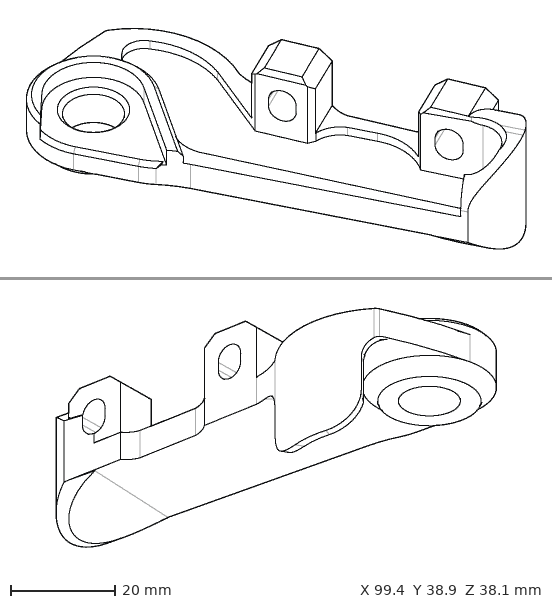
import cadquery as cq
import math

ARM_TOP = 6.0
POCKET_FLOOR = 4.0
HUB_TOP = 8.6
HUB_FLOOR = 5.0
POST_TOP = 19.2
TAB_BOTTOM = -18.9
CAP_BOTTOM = -5.8
BOSS_DEPTH = 3.0

HUB_RADIUS = 12.9
HUB_WALL = 3.0
HUB_POCKET_RADIUS = HUB_RADIUS - HUB_WALL
HOLE_RADIUS = 6.0
EDGE_CHAMFER = 1.0
FLANK_ANGLE = 30.0
RECESS_LEFT_ANGLE = 195.0

ARM_FRONT_Y = -11.7
LOBE_CENTER = (6.8, 4.1)
LOBE_RADIUS = 21.9
LOBE_CORNER_ANGLE = 121.0
LOBE_POCKET_RADIUS = 18.3
LEFT_EDGE_ANGLE = 164.0
LOBE_CORNER_FILLET = 2.0
CAP_RADIUS = 12.9
ARM_END_X = 99.4 - HUB_RADIUS
CAP_CENTER_X = ARM_END_X - CAP_RADIUS

HUB_FRONT_END = (13.0, -HUB_RADIUS)
BLEND_MIDDLE = (16.5, -12.5)
BLEND_END = (23.2, ARM_FRONT_Y)

REAR_TILT = 3.5
REAR_START = (30.7, 14.5)
POST_BACK_STARTS = (0.0, 34.2)
POST_WIDTH = 13.1
POST_DEPTH = 10.3
POST_CHAMFER_WIDTH = 2.7
POST_CHAMFER_HEIGHT = 2.3
SLOT_OFFSET = 6.8
SLOT_WIDTH = 5.7
SLOT_HEIGHT = 7.4
SLOT_Z = 11.7

CAP_START_X = 77.5
CREST_START_X = 71.5
END_RADIUS = 5.6
END_CENTER = (77.5, -3.8)
ARCH_RADIUS = 11.7
ARCH_FLAT = 1.6
UNDER_ARCH_RADIUS = 14.9
RIDGE_START_X = 71.5

TAB_INNER_RADIUS = 20.1
TAB_START_ANGLE = 38.5
TAB_END_ANGLE = 113.0
TAB_ROOT_FILLET = 4.5
CLEARANCE_RADIUS = 26.8
TAB_RIGHT_RADIUS = 12.4
TAB_RIGHT_INWARD = 145.0
TAB_LEFT_RADIUS = 7.5
TAB_LEFT_INWARD = 14.0
TAB_CORNER_REACH = 7.9
TAB_OVERREACH = 5.0

BIG = 59.6


def polar(radius, angle, center=(0.0, 0.0)):
    a = math.radians(angle)
    return (center[0] + radius * math.cos(a), center[1] + radius * math.sin(a))


def along_rear(distance, inset=0.0):
    """Point at a distance along the rear edge, moved inward from it."""
    a = math.radians(REAR_TILT)
    x = REAR_START[0] + distance * math.cos(a) - inset * math.sin(a)
    y = REAR_START[1] - distance * math.sin(a) - inset * math.cos(a)
    return (x, y)


def on_tangent(radius, angle, y):
    """Point at height y on the line tangent to the origin circle at an angle."""
    a = math.radians(angle)
    return ((radius - y * math.sin(a)) / math.cos(a), y)


def arm_outline():
    """Closed outline of the arm, counterclockwise from where the left edge meets the hub."""
    cap_half_angle = math.degrees(math.asin(-ARM_FRONT_Y / CAP_RADIUS))
    cap_center = (CAP_CENTER_X, 0.0)
    return (
        cq.Workplane("XY")
        .moveTo(*polar(HUB_RADIUS, LEFT_EDGE_ANGLE))
        .threePointArc(polar(HUB_RADIUS, 215), (0, -HUB_RADIUS))
        .lineTo(*HUB_FRONT_END)
        .tangentArcPoint(BLEND_MIDDLE, relative=False)
        .tangentArcPoint(BLEND_END, relative=False)
        .lineTo(*polar(CAP_RADIUS, -cap_half_angle, cap_center))
        .threePointArc((ARM_END_X, 0), polar(CAP_RADIUS, cap_half_angle, cap_center))
        .lineTo(*along_rear(POST_BACK_STARTS[1]))
        .threePointArc((63.6, 11.4), (61.5, 10.7))
        .lineTo(47.5, 11.5)
        .threePointArc((45.7, 12.2), along_rear(POST_WIDTH))
        .lineTo(*REAR_START)
        .threePointArc((27.0, 15.7), polar(LOBE_RADIUS, TAB_START_ANGLE, LOBE_CENTER))
        .threePointArc(
            polar(LOBE_RADIUS, 80, LOBE_CENTER),
            polar(LOBE_RADIUS, LOBE_CORNER_ANGLE, LOBE_CENTER),
        )
        .threePointArc((-9.0, 13.4), polar(HUB_RADIUS, LEFT_EDGE_ANGLE))
        .close()
    )


def pocket_prism():
    """Recess in the arm; above the arm its walls are the post and end wall faces."""
    outline = (
        cq.Workplane("XY")
        .moveTo(5, 5)
        .lineTo(4, 11.4)
        .threePointArc((1.2, 14.8), (0.3, 17.9))
        .threePointArc((1.5, 20.9), polar(LOBE_POCKET_RADIUS, 97, LOBE_CENTER))
        .threePointArc(
            polar(LOBE_POCKET_RADIUS, 72, LOBE_CENTER),
            polar(LOBE_POCKET_RADIUS, 45, LOBE_CENTER),
        )
        .lineTo(*along_rear(1.2, POST_DEPTH))
        .lineTo(*along_rear(11.9, POST_DEPTH))
        .lineTo(43.3, 4.6)
        .threePointArc((45.5, 7.0), (48.6, 8.0))
        .lineTo(54.6, 8.0)
        .threePointArc((60.6, 6.6), (64.6, 3.1))
        .lineTo(*along_rear(POST_BACK_STARTS[1] + 1.0, POST_DEPTH))
        .lineTo(*polar(END_RADIUS, 86.5, END_CENTER))
        .threePointArc(polar(END_RADIUS, 0, END_CENTER), polar(END_RADIUS, -88.3, END_CENTER))
        .lineTo(23.5, -7.7)
        .threePointArc((20.1, -6.5), (17.6, -4.1))
        .lineTo(9.9, 0)
        .close()
    )
    return outline.extrude(BIG).translate((0, 0, POCKET_FLOOR))


def place_at_post(body, start):
    """Move a body from the origin to a post, its back center on the rear edge."""
    x, y = along_rear(start + POST_WIDTH / 2)
    return body.rotate((0, 0, 0), (0, 0, 1), -REAR_TILT).translate((x, y, 0))


def post(start):
    """Post with its top corners sloped off on both sides, sunk halfway into the arm."""
    half = POST_WIDTH / 2
    shoulder = POST_TOP - POST_CHAMFER_HEIGHT
    body = (
        cq.Workplane("XZ")
        .polyline(
            [
                (-half, ARM_TOP / 2),
                (half, ARM_TOP / 2),
                (half, shoulder),
                (half - POST_CHAMFER_WIDTH, POST_TOP),
                (POST_CHAMFER_WIDTH - half, POST_TOP),
                (-half, shoulder),
            ]
        )
        .close()
        .extrude(POST_DEPTH)
    )
    return place_at_post(body, start)


def front_bevel(start):
    """Bevel along the top front edge of a post."""
    bevel = (
        cq.Workplane("YZ")
        .moveTo(-POST_DEPTH - EDGE_CHAMFER, POST_TOP + EDGE_CHAMFER)
        .lineTo(-POST_DEPTH - EDGE_CHAMFER, POST_TOP - 2 * EDGE_CHAMFER)
        .lineTo(-POST_DEPTH + 2 * EDGE_CHAMFER, POST_TOP + EDGE_CHAMFER)
        .close()
        .extrude(POST_WIDTH / 2, both=True)
    )
    return place_at_post(bevel, start)


def end_wall_bevel():
    """Conical bevel continuing the post's front bevel around the pocket end."""
    return (
        cq.Workplane("XY", origin=(*END_CENTER, POST_TOP - EDGE_CHAMFER))
        .circle(END_RADIUS)
        .workplane(offset=EDGE_CHAMFER)
        .circle(END_RADIUS + EDGE_CHAMFER)
        .loft()
    )


def post_slot(start):
    slot = (
        cq.Workplane("XZ")
        .center(SLOT_OFFSET - POST_WIDTH / 2, SLOT_Z)
        .slot2D(SLOT_HEIGHT, SLOT_WIDTH, 90)
        .extrude(BIG, both=True)
    )
    return place_at_post(slot, start)


def tab_corner(end_angle, inward, radius):
    """Space outside a rounded lower corner of the tab, cut square to an inward direction."""
    x, y = polar(LOBE_RADIUS, end_angle, LOBE_CENTER)
    dx, dy = polar(1, inward)
    plane = cq.Plane(origin=(x, y, TAB_BOTTOM), xDir=(dx, dy, 0), normal=(dy, -dx, 0))
    return (
        cq.Workplane(plane)
        .moveTo(-radius, radius)
        .lineTo(0, radius)
        .radiusArc((radius, 0), -radius)
        .lineTo(radius, -radius)
        .lineTo(-radius, -radius)
        .close()
        .extrude(TAB_CORNER_REACH, both=True)
    )


def hub_clearance():
    """Shallow space under the arm that keeps the tab's root clear of the hub."""
    around_hub = cq.Workplane("XY").circle(CLEARANCE_RADIUS).extrude(-BOSS_DEPTH)
    inside_tab = cq.Workplane("XY").center(*LOBE_CENTER).circle(TAB_INNER_RADIUS).extrude(-BOSS_DEPTH)
    return around_hub.intersect(inside_tab)


def tab_space(slab):
    """The slab with the tab's sector below it, blended at the root and reaching past the outline."""
    outer_radius = LOBE_RADIUS + TAB_OVERREACH
    middle_angle = (TAB_START_ANGLE + TAB_END_ANGLE) / 2
    tab = (
        cq.Workplane("XY")
        .moveTo(*polar(TAB_INNER_RADIUS, TAB_START_ANGLE, LOBE_CENTER))
        .lineTo(*polar(outer_radius, TAB_START_ANGLE, LOBE_CENTER))
        .threePointArc(
            polar(outer_radius, middle_angle, LOBE_CENTER),
            polar(outer_radius, TAB_END_ANGLE, LOBE_CENTER),
        )
        .lineTo(*polar(TAB_INNER_RADIUS, TAB_END_ANGLE, LOBE_CENTER))
        .threePointArc(
            polar(TAB_INNER_RADIUS, middle_angle, LOBE_CENTER),
            polar(TAB_INNER_RADIUS, TAB_START_ANGLE, LOBE_CENTER),
        )
        .close()
        .extrude(TAB_BOTTOM)
    )
    root = cq.selectors.BoxSelector((-BIG, 1, -0.1), (BIG, BIG, 0.1))
    blended = slab.union(tab).edges(root).fillet(TAB_ROOT_FILLET)
    right = tab_corner(TAB_START_ANGLE, TAB_RIGHT_INWARD, TAB_RIGHT_RADIUS)
    left = tab_corner(TAB_END_ANGLE, TAB_LEFT_INWARD, TAB_LEFT_RADIUS)
    return blended.cut(right).cut(left).cut(hub_clearance())


def arm_envelope():
    """Space the arm may fill: a flat slab, the arched end wall and the ridge under it."""
    arch_z = POST_TOP - ARCH_RADIUS
    slab = cq.Workplane("XY").box(4 * BIG, 4 * BIG, ARM_TOP, centered=(True, True, False))
    crest = (
        cq.Workplane("YZ", origin=(CREST_START_X, 0, 0))
        .moveTo(-ARCH_RADIUS, ARM_TOP / 2)
        .lineTo(-ARCH_RADIUS, arch_z)
        .radiusArc((0, POST_TOP), ARCH_RADIUS)
        .lineTo(ARCH_FLAT, POST_TOP)
        .radiusArc((ARCH_FLAT + ARCH_RADIUS, arch_z), ARCH_RADIUS)
        .lineTo(ARCH_FLAT + ARCH_RADIUS, ARM_TOP / 2)
        .close()
        .extrude(BIG)
    )
    front_rim = cq.Workplane("XY").box(BIG, BIG, BIG)
    front_rim = front_rim.translate((CAP_START_X - BIG / 2, -BIG / 2, ARM_TOP + BIG / 2))
    crest = crest.cut(front_rim)
    ridge_side = (
        cq.Workplane("XZ")
        .moveTo(RIDGE_START_X, 0)
        .threePointArc((78.0, -2.4), (84.2, CAP_BOTTOM))
        .lineTo(2 * ARM_END_X, CAP_BOTTOM)
        .lineTo(2 * ARM_END_X, ARM_TOP / 2)
        .lineTo(RIDGE_START_X, ARM_TOP / 2)
        .close()
        .extrude(BIG, both=True)
    )
    ridge_arch = (
        cq.Workplane("YZ")
        .center(0, CAP_BOTTOM + UNDER_ARCH_RADIUS)
        .circle(UNDER_ARCH_RADIUS)
        .extrude(2 * BIG)
    )
    return tab_space(slab).union(crest).union(ridge_side.intersect(ridge_arch))


def build_arm():
    corner = polar(LOBE_RADIUS, LOBE_CORNER_ANGLE, LOBE_CENTER)
    prism = (
        arm_outline()
        .extrude(POST_TOP - TAB_BOTTOM)
        .translate((0, 0, TAB_BOTTOM))
        .edges(cq.selectors.NearestToPointSelector((*corner, (POST_TOP + TAB_BOTTOM) / 2)))
        .fillet(LOBE_CORNER_FILLET)
    )
    return prism.intersect(arm_envelope())


def hub_prism(height):
    """Beveled hub; it reaches past the arm's front beside the flank so that no bevel is left there."""
    past_front = -HUB_RADIUS - HUB_WALL
    over_long = (
        cq.Workplane("XY")
        .moveTo(*polar(HUB_RADIUS, FLANK_ANGLE))
        .threePointArc(polar(HUB_RADIUS, 150), (0, -HUB_RADIUS))
        .lineTo(*HUB_FRONT_END)
        .tangentArcPoint(BLEND_MIDDLE, relative=False)
        .lineTo(BLEND_MIDDLE[0], past_front)
        .lineTo(*on_tangent(HUB_RADIUS, FLANK_ANGLE, past_front))
        .close()
        .extrude(height)
        .faces(">Z")
        .chamfer(EDGE_CHAMFER)
    )
    return over_long.intersect(arm_outline().extrude(height))


def hub_recess():
    """Space above the hub floor, open toward the front."""
    return (
        cq.Workplane("XY", origin=(0, 0, HUB_FLOOR - EDGE_CHAMFER))
        .moveTo(*polar(HUB_POCKET_RADIUS, FLANK_ANGLE))
        .threePointArc(polar(HUB_POCKET_RADIUS, 110), polar(HUB_POCKET_RADIUS, RECESS_LEFT_ANGLE))
        .lineTo(*on_tangent(HUB_POCKET_RADIUS, RECESS_LEFT_ANGLE, -BIG))
        .lineTo(*on_tangent(HUB_POCKET_RADIUS, FLANK_ANGLE, -BIG))
        .close()
        .extrude(BIG)
    )


def build_hub():
    wall = hub_prism(HUB_TOP).cut(hub_recess())
    return wall.union(hub_prism(HUB_FLOOR)).union(hub_boss())


def hub_boss():
    return (
        cq.Workplane("XZ")
        .moveTo(0, 0)
        .lineTo(HUB_RADIUS, 0)
        .threePointArc((10.9, -1.2), (HUB_POCKET_RADIUS, -BOSS_DEPTH))
        .lineTo(0, -BOSS_DEPTH)
        .close()
        .revolve(360, (0, 0, 0), (0, 1, 0))
    )


def pivot_hole():
    hole = cq.Workplane("XY").circle(HOLE_RADIUS).extrude(BIG, both=True)
    countersink = (
        cq.Workplane("XY", origin=(0, 0, HUB_FLOOR - EDGE_CHAMFER))
        .circle(HOLE_RADIUS)
        .workplane(offset=EDGE_CHAMFER)
        .circle(HOLE_RADIUS + EDGE_CHAMFER)
        .loft()
    )
    return hole.union(countersink)


result = build_arm()
for start in POST_BACK_STARTS:
    result = result.union(post(start))
result = result.cut(pocket_prism())
for start in POST_BACK_STARTS:
    result = result.cut(post_slot(start)).cut(front_bevel(start))
result = result.cut(end_wall_bevel()).cut(hub_recess())
result = result.union(build_hub()).cut(pivot_hole())